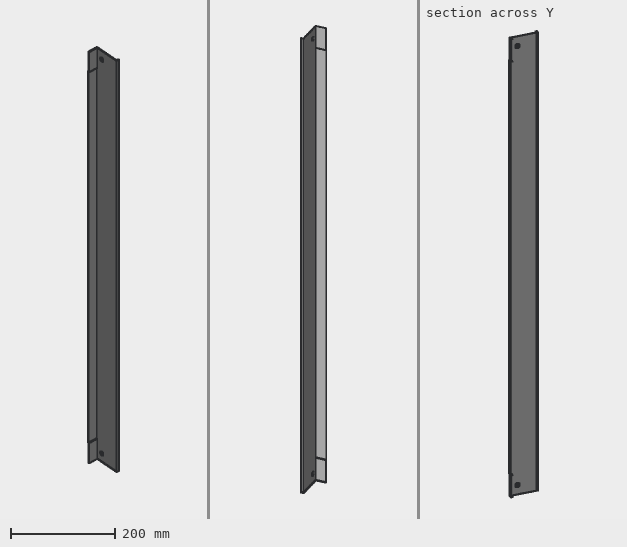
import cadquery as cq

length = 995.0
width = 60.0
depth = 27.0

web_thickness = 2.0
lip_thickness = 3.0
flange_thickness = 3.0
lip_step = 4.5

end_length = 49.0
end_inset = 1.0

hole_diameter = 4.0
countersink_diameter = 10.0
countersink_angle = 120
hole_x = 17.0
hole_from_end = 21.0

web_back = depth - lip_step
web_front = web_back - web_thickness


def angle_section(left, start, height):
    """Web and side flange with the flange's outer face at X = left."""
    return (
        cq.Workplane("XY", origin=(0, 0, start))
        .moveTo(left, 0)
        .lineTo(left + flange_thickness, 0)
        .lineTo(left + flange_thickness, web_front)
        .lineTo(width, web_front)
        .lineTo(width, web_back)
        .lineTo(left, web_back)
        .close()
        .extrude(height)
    )


result = angle_section(0, end_length, length - 2 * end_length)
for start in (0, length - end_length):
    result = result.union(angle_section(end_inset, start, end_length))

lip = (
    cq.Workplane("XY")
    .box(lip_thickness, depth - web_front, length, centered=False)
    .translate((width - lip_thickness, web_front, 0))
)
result = result.union(lip)

result = (
    result.copyWorkplane(cq.Workplane("XZ", origin=(0, web_front, 0)))
    .pushPoints([(hole_x, hole_from_end), (hole_x, length - hole_from_end)])
    .cskHole(hole_diameter, countersink_diameter, countersink_angle)
)